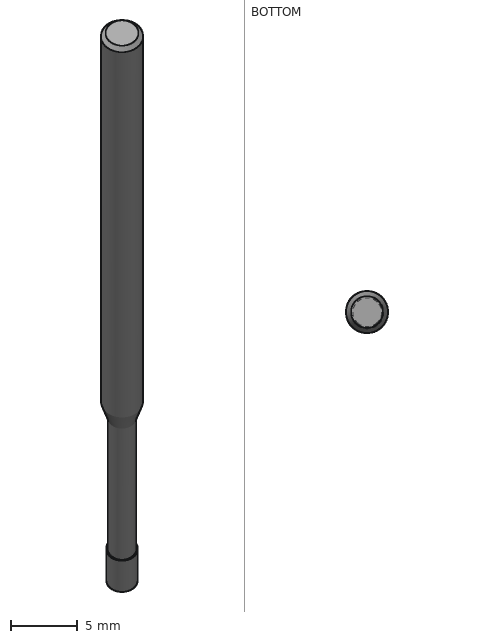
import cadquery as cq

total_length = 63.5

shank_diameter = 3.175
shank_chamfer = 0.35
taper_top = 20.75
neck_top = 18.85
neck_diameter = 2.16

head_diameter = 2.38
head_length = 3.63


def make_head():
    """Plain cylindrical head standing on the origin."""
    return cq.Workplane("XY").circle(head_diameter / 2).extrude(head_length)


def make_shank():
    """Revolved shank whose neck ends flat on top of the head."""
    shank_radius = shank_diameter / 2
    neck_radius = neck_diameter / 2
    half_profile = [
        (0, head_length),
        (neck_radius, head_length),
        (neck_radius, neck_top),
        (shank_radius, taper_top),
        (shank_radius, total_length),
        (0, total_length),
    ]
    turned = cq.Workplane("XZ").polyline(half_profile).close().revolve(360, (0, 0), (0, 1))
    return turned.faces(">Z").chamfer(shank_chamfer)


head = make_head()
shank = make_shank()

result = cq.Compound.makeCompound([shank.val(), head.val()])